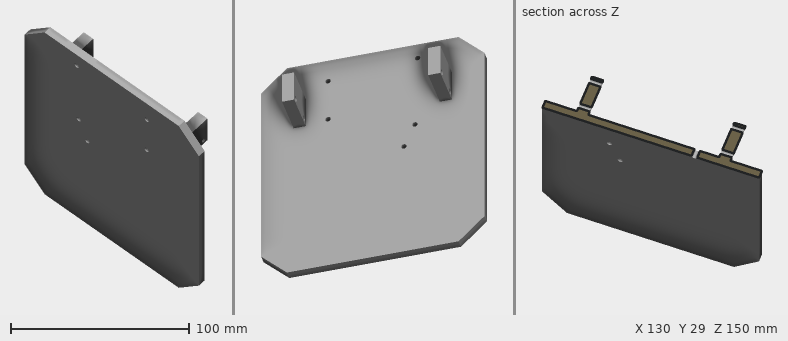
import cadquery as cq

plate_width = 130.0
plate_height = 150.0
plate_thickness = 5.0
corner_cut = 15.0

total_depth = 29.0
tab_length = total_depth - plate_thickness
tab_thickness = 7.0
tab_height = 20.0
tab_spacing = 85.2
tab_top_z = 50.0

hole_diameter = 3.2
plate_hole_centers = [
    (-26.1, 65.0),
    (26.1, 60.0),
    (26.1, 32.1),
    (-24.6, 16.6),
    (-18.2, 2.0),
]
tab_hole_z = 33.0
tab_hole_inner_y = plate_thickness + 3.6
tab_hole_outer_y = total_depth - 3.2


def make_plate():
    """Plate with its front face on Y = 0, centred on X and Z."""
    plate = (
        cq.Workplane("XY")
        .box(plate_width, plate_thickness, plate_height)
        .translate((0, plate_thickness / 2, 0))
        .edges("|Y")
        .chamfer(corner_cut)
    )
    holes = (
        cq.Workplane("XZ")
        .pushPoints(plate_hole_centers)
        .circle(hole_diameter / 2)
        .extrude(-plate_thickness)
    )
    return plate.cut(holes)


def make_tab(center_x):
    """Tab behind the plate with two holes running through it along X."""
    tab = cq.Workplane("XY").box(tab_thickness, tab_length, tab_height).translate(
        (center_x, plate_thickness + tab_length / 2, tab_top_z - tab_height / 2)
    )
    holes = (
        cq.Workplane("YZ", origin=(center_x, 0, 0))
        .pushPoints([(tab_hole_inner_y, tab_hole_z), (tab_hole_outer_y, tab_hole_z)])
        .circle(hole_diameter / 2)
        .extrude(tab_thickness, both=True)
    )
    return tab.cut(holes)


result = make_plate()
for side in (-1, 1):
    result = result.union(make_tab(side * tab_spacing / 2))